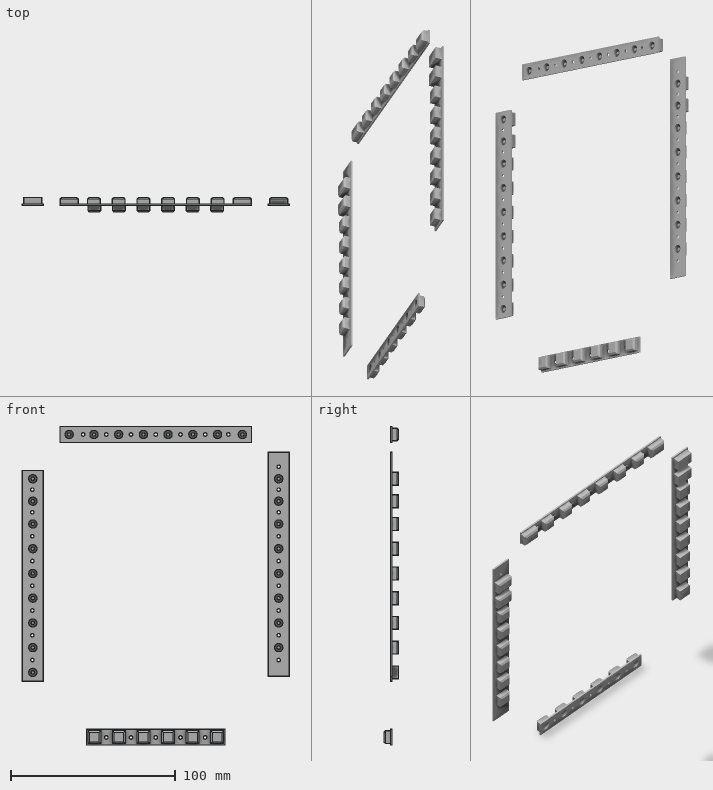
import cadquery as cq
plate_thickness = 1.0
plate_front = -plate_thickness / 2
plate_back = plate_thickness / 2
total_width = 162.0
total_height = 193.31

pad_height = 4.0
pad_chamfer = 1.0

pocket_diameter = 5.0
pocket_depth = 4.0
post_diameter = 2.0
post_length = 3.0

hole_diameter = 2.0

row_strip_height = 9.8
row_z = (total_height - row_strip_height) / 2
row_pad_size = 7.8
hole_pitch = 15.0

upper_length = 116.3
upper_pad_count = 8
upper_pad_pitch = 15.0
upper_end_pad_length = 11.1
upper_inner_hole_count = 5
upper_end_hole_x = 44.0

lower_length = 84.0
lower_pad_count = 6
lower_pad_pitch = 14.9
lower_hole_count = 5
lower_hole_drop = 0.2

column_width = 12.9
column_x = (total_width - column_width) / 2
column_pad_length = 8.0
wide_pad_width = 11.0
narrow_pad_width = 8.0
wide_pad_z = [64.9, 51.3]
narrow_pad_top_z = 37.5
narrow_pad_pitch = 15.0
left_narrow_pad_count = 7
right_narrow_pad_count = 6
upper_hole_z = [58.3, 44.6]
regular_hole_top_z = 30.0
regular_hole_count = 6
right_extra_hole_z = 72.2
left_hole_shift = -0.3

left_bottom, left_top = -58.0, 70.0
right_bottom, right_top = -55.0, 81.0


def centred_row(count, pitch):
    """Evenly spaced positions, symmetric about zero."""
    return [(i - (count - 1) / 2) * pitch for i in range(count)]


def descending(start, count, pitch):
    """Evenly spaced positions going down from start."""
    return [start - i * pitch for i in range(count)]


def block(x, z, width, height, y_start, y_end):
    """Box centred on (x, z) that spans y_start to y_end."""
    corner = cq.Vector(x - width / 2, y_start, z - height / 2)
    return cq.Workplane(cq.Solid.makeBox(width, y_end - y_start, height, corner))


def cylinder(x, z, diameter, y_start, y_end):
    """Cylinder along Y that spans y_start to y_end."""
    base = cq.Vector(x, y_start, z)
    axis = cq.Vector(0, 1, 0)
    return cq.Workplane(cq.Solid.makeCylinder(diameter / 2, y_end - y_start, base, axis))


def key_pad(x, z, width, height, chamfered):
    """Solid pad standing on the back face of the plate."""
    pad = block(x, z, width, height, plate_back, plate_back + pad_height)
    if chamfered:
        pad = pad.faces(">Y").chamfer(pad_chamfer)
    return pad


def key_pocket(x, z):
    """Ring-shaped cavity that leaves the contact post standing."""
    floor = plate_front + pocket_depth
    pocket = cylinder(x, z, pocket_diameter, plate_front, floor)
    return pocket.cut(cylinder(x, z, post_diameter, floor - post_length, floor))


def key_strip(plate, pads, holes, chamfered=True):
    """Plate and pads are (x, z, width, height), holes are (x, z)."""
    strip = block(*plate, plate_front, plate_back)
    for pad in pads:
        strip = strip.union(key_pad(*pad, chamfered))
    for x, z, _, _ in pads:
        strip = strip.cut(key_pocket(x, z))
    for x, z in holes:
        strip = strip.cut(cylinder(x, z, hole_diameter, plate_front, plate_back))
    return strip


def make_upper_strip():
    """Eight keys facing +Y, with longer pads at both ends."""
    pad_x = centred_row(upper_pad_count, upper_pad_pitch)
    lengths = [row_pad_size] * upper_pad_count
    lengths[0] = upper_end_pad_length
    lengths[-1] = upper_end_pad_length
    pads = [(x, row_z, length, row_pad_size) for x, length in zip(pad_x, lengths)]
    hole_x = centred_row(upper_inner_hole_count, hole_pitch) + [-upper_end_hole_x, upper_end_hole_x]
    holes = [(x, row_z) for x in hole_x]
    return key_strip((0, row_z, upper_length, row_strip_height), pads, holes)


def make_lower_strip():
    """Six keys, turned half a turn about X so that they face -Y."""
    pads = [
        (x, row_z, row_pad_size, row_pad_size)
        for x in centred_row(lower_pad_count, lower_pad_pitch)
    ]
    holes = [(x, row_z + lower_hole_drop) for x in centred_row(lower_hole_count, hole_pitch)]
    strip = key_strip((0, row_z, lower_length, row_strip_height), pads, holes)
    return strip.rotate((0, 0, 0), (1, 0, 0), 180)


def column_pads(x, narrow_count):
    """Two wide pads at the top and a run of narrow pads below them."""
    wide = [(x, z, wide_pad_width, column_pad_length) for z in wide_pad_z]
    narrow_z = descending(narrow_pad_top_z, narrow_count, narrow_pad_pitch)
    narrow = [(x, z, narrow_pad_width, column_pad_length) for z in narrow_z]
    return wide + narrow


def column_plate(x, bottom, top):
    """Centre and size of an upright plate."""
    return (x, (bottom + top) / 2, column_width, top - bottom)


column_hole_z = upper_hole_z + descending(regular_hole_top_z, regular_hole_count, hole_pitch)


def make_left_strip():
    """Nine keys with plain, square-edged pads."""
    holes = [(-column_x + left_hole_shift, z) for z in column_hole_z]
    plate = column_plate(-column_x, left_bottom, left_top)
    pads = column_pads(-column_x, left_narrow_pad_count)
    return key_strip(plate, pads, holes, chamfered=False)


def make_right_strip():
    """Eight keys with chamfered pads and one more hole at the top."""
    holes = [(column_x, z) for z in [right_extra_hole_z] + column_hole_z]
    plate = column_plate(column_x, right_bottom, right_top)
    pads = column_pads(column_x, right_narrow_pad_count)
    return key_strip(plate, pads, holes)


upper_strip = make_upper_strip()
lower_strip = make_lower_strip()
left_strip = make_left_strip()
right_strip = make_right_strip()

result = cq.Compound.makeCompound(
    [upper_strip.val(), lower_strip.val(), left_strip.val(), right_strip.val()]
)